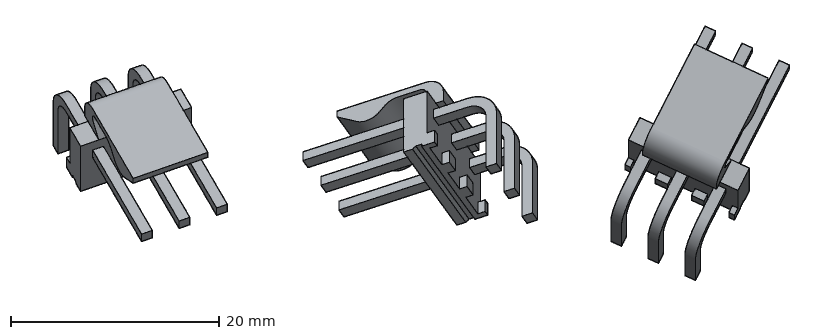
import cadquery as cq
import math


pin_count = 3
pin_pitch = 3.95
pin_size = 1.14
pin_length = 20.7
pin_top = 9.63
pin_bend_radius = 3.1
pin_row_offset = -0.06

body_back = 6.73
body_front = 9.25
body_bottom = 3.98
body_top = 10.85
body_width = 11.72

foot_back = 5.95
foot_height = 1.51
end_foot_width = 0.6
middle_foot_width = 1.35
middle_foot_offset = 1.95

groove_start = 7.33
groove_roof_end = 7.95
groove_end = 8.3
groove_depth = 0.27

clip_width = 7.9
clip_back = foot_back
clip_top = 13.98
clip_tip = 17.31
clip_thickness = 0.75
clip_outer_radius = 1.93
throat_radius = 0.65
lobe_radius = 1.93
lobe_x = 14.17
lobe_bottom = 11.5

sin45 = math.sqrt(0.5)


def on_circle(center, radius, degrees):
    angle = math.radians(degrees)
    return (center[0] + radius * math.cos(angle), center[1] + radius * math.sin(angle))


def block(x_min, x_max, z_min, z_max, y_center, width):
    return (
        cq.Workplane("XY")
        .box(x_max - x_min, width, z_max - z_min, centered=(False, True, False))
        .translate((x_min, y_center, z_min))
    )


def extrude_across(profile, width, y_center=0):
    """Extrude a closed XZ profile along Y, centred on y_center."""
    return profile.extrude(width / 2, both=True).translate((0, y_center, 0))


def make_pin(y_center):
    inner_radius = pin_bend_radius - pin_size
    bend_center = (pin_bend_radius, pin_top - pin_bend_radius)
    profile = (
        cq.Workplane("XZ")
        .moveTo(0, 0)
        .lineTo(0, bend_center[1])
        .threePointArc(on_circle(bend_center, pin_bend_radius, 135), (bend_center[0], pin_top))
        .lineTo(pin_length, pin_top)
        .lineTo(pin_length, pin_top - pin_size)
        .lineTo(bend_center[0], pin_top - pin_size)
        .threePointArc(on_circle(bend_center, inner_radius, 135), (pin_size, bend_center[1]))
        .lineTo(pin_size, 0)
        .close()
    )
    return extrude_across(profile, pin_size, y_center)


def make_body():
    body = block(body_back, body_front, body_bottom, body_top, 0, body_width)
    end_foot_offset = (body_width - end_foot_width) / 2
    for side in (-1, 1):
        for offset, width in (
            (end_foot_offset, end_foot_width),
            (middle_foot_offset, middle_foot_width),
        ):
            foot = block(
                foot_back, body_back, body_bottom, body_bottom + foot_height, side * offset, width
            )
            body = body.union(foot)

    groove_roof = body_bottom + groove_depth
    groove = cq.Workplane("XZ").polyline([
        (groove_start, body_bottom),
        (groove_start, groove_roof),
        (groove_roof_end, groove_roof),
        (groove_end, body_bottom),
    ]).close()
    return body.cut(extrude_across(groove, body_width))


def make_clip():
    underside = clip_top - clip_thickness
    outer_center = (clip_back + clip_outer_radius, clip_top - clip_outer_radius)

    throat_z = underside - throat_radius
    throat_x = body_front + body_top + throat_radius / sin45 - throat_z
    throat = (throat_x, throat_z)

    lobe = (lobe_x, lobe_bottom + lobe_radius)
    blend_z = underside - lobe_radius
    blend_x = lobe[0] + lobe[1] - 2 * lobe_radius / sin45 - blend_z
    blend = (blend_x, blend_z)

    tip_dx = clip_tip - lobe[0]
    tip_dz = underside - lobe[1]
    tip_direction = math.degrees(math.atan2(tip_dz, tip_dx))
    tangent_spread = math.degrees(math.acos(lobe_radius / math.hypot(tip_dx, tip_dz)))
    lead_in_angle = tip_direction - tangent_spread

    profile = (
        cq.Workplane("XZ")
        .moveTo(clip_back, body_top)
        .lineTo(clip_back, outer_center[1])
        .threePointArc(on_circle(outer_center, clip_outer_radius, 135), (outer_center[0], clip_top))
        .lineTo(clip_tip, clip_top)
        .lineTo(clip_tip, underside)
        .lineTo(*on_circle(lobe, lobe_radius, lead_in_angle))
        .threePointArc(on_circle(lobe, lobe_radius, -90), on_circle(lobe, lobe_radius, -135))
        .lineTo(*on_circle(blend, lobe_radius, 45))
        .threePointArc(on_circle(blend, lobe_radius, 67.5), (blend_x, underside))
        .lineTo(throat_x, underside)
        .threePointArc(on_circle(throat, throat_radius, 180), on_circle(throat, throat_radius, 225))
        .lineTo(body_front, body_top)
        .close()
    )
    return extrude_across(profile, clip_width)


result = make_body().union(make_clip())
for index in range(pin_count):
    pin_y = pin_row_offset + (index - (pin_count - 1) / 2) * pin_pitch
    result = result.union(make_pin(pin_y))